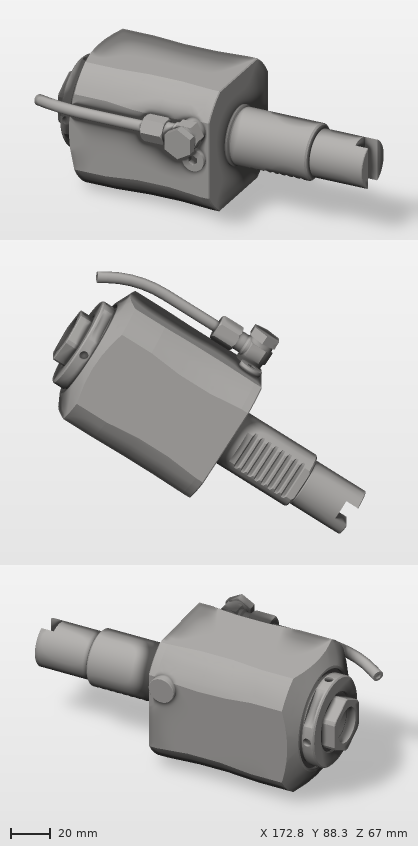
import cadquery as cq
import math

EMBED = 3.5

BLOCK_SIDE = 67.0
BLOCK_FRONT_X = -81.4
CONE_END_X = -75.4
WAIST_START_X = -57.7
WAIST_END_X = -4.5
CORNER_RADIUS = 39.5
WAIST_RADIUS = 38.5
FRONT_FACE_RADIUS = 27.5
REAR_CHAMFER = 0.5
RECESS_RADIUS = 26.1
RECESS_DEPTH = 1.7
HALF_SIDE = BLOCK_SIDE / 2

RING_FRONT_X = -88.3
RING_RADIUS = 24.0
RING_CHAMFER = 0.7
RING_REAR_X = -81.7
RING_NECK_RADIUS = 23.2
RING_BORE_CHAMFER = 0.5
PIN_HOLE_X = -84.5
PIN_HOLE_DIAMETER = 4.5
PIN_HOLE_DEPTH = 4.3
PIN_HOLE_POINT_ANGLE = 118
PIN_HOLE_COUNT = 4
FLAT_START_X = -86.8
FLAT_END_X = -82.0
FLAT_DISTANCE = 21.8
FLAT_ANGLES = (45, 225)

FLANGE_RADIUS = 15.9
FLANGE_LENGTH = 1.0
FLANGE_TAPER = 0.7
SHANK_RADIUS = 15.0
SHANK_END_X = 45.0
SHANK_CHAMFER = 0.9
SEAL_GROOVE_WIDTH = 0.9
SEAL_GROOVE_DEPTH = 0.3
RACK_START_X = 7.3
RACK_FLAT_Z = -12.3
TOOTH_PITCH = 4.0
FIRST_GAP_X = 12.0
GAP_COUNT = 8
GAP_MOUTH = 3.0
GAP_FLOOR = 1.4
GAP_DEPTH = 1.4

PORT_X = -8.6
PORT_Z = 15.5
FRONT_PLUG_X = -7.8
REAR_PLUG_RADIUS = 7.0
REAR_PLUG_HEIGHT = 3.0
REAR_PLUG_CHAMFER = 0.3
FRONT_PLUG_RADIUS = 6.0
FRONT_PLUG_HEIGHT = 2.6
SOCKET_ACROSS_FLATS = 4.8
SOCKET_DEPTH = 3.5

FITTING_RADIUS = 6.7
FITTING_ACROSS_FLATS = 13.7
FITTING_HEX_START_Y = -37.3
FITTING_HEX_END_Y = -44.6
BOLT_HEAD_START_Y = -47.2
BOLT_HEAD_END_Y = -51.8
BOLT_HEAD_ACROSS_FLATS = 14.2
NECK_RADIUS = 5.0
NECK_FLARE_X = -15.7
NECK_FLARE_RADIUS = 6.0
NUT_ACROSS_FLATS = 12.1
NUT_FRONT_X = -31.8
NUT_REAR_X = -19.7
NUT_TURNED_RADIUS = 6.2
NUT_BEVEL_LENGTH = 0.9
PIPE_Y = (FITTING_HEX_START_Y + FITTING_HEX_END_Y) / 2

PIPE_RADIUS = 3.0
PIPE_BORE_RADIUS = 1.5
PIPE_BORE_DEPTH = 3.5
PIPE_BEND_X = -62.4
PIPE_BEND_RADIUS = 58.0
PIPE_BEND_ANGLE = 31.0
PIPE_TIP_LENGTH = 4.7
PIPE_TILT = 18.7

COLLAR_RADIUS = 15.5
COLLAR_FRONT_X = -87.5
COLLAR_REAR_X = -69.1
COLLAR_CHAMFER = 0.3
SHAFT_RADIUS = 9.0
HEX_FRONT_X = -94.7
HEX_ACROSS_FLATS = 26.5
HEX_TURNED_RADIUS = 14.7
HEX_CHAMFER = 0.3
BORE_MOUTH_RADIUS = 9.5
BORE_MOUTH_DEPTH = 5.2
BORE_RADIUS = 9.2
BORE_DEPTH = 10.4
TAIL_START_X = 45.6
TAIL_END_X = 75.0
TAIL_RADIUS = 12.6
TAIL_CHAMFER = 0.3
SLOT_WIDTH = 10.9
SLOT_DEPTH = 7.0


def cylinder_x(x_start, x_end, radius):
    """Cylinder about the X axis between two X positions."""
    return cq.Workplane("YZ", origin=(x_start, 0, 0)).circle(radius).extrude(x_end - x_start)


def cylinder_y(y_start, y_end, radius, x, z):
    """Cylinder along Y between two Y positions."""
    return cq.Workplane("XZ", origin=(x, y_start, z)).circle(radius).extrude(y_start - y_end)


def hexagon(across_flats):
    """Corner points of a hexagon with one corner on the first sketch axis."""
    radius = across_flats / math.sqrt(3)
    angles = [math.radians(60 * corner) for corner in range(6)]
    return [(radius * math.cos(angle), radius * math.sin(angle)) for angle in angles]


def hexagon_pointing_up(across_flats):
    """Corner points of a hexagon with one corner on the second sketch axis."""
    return [(-v, u) for u, v in hexagon(across_flats)]


def prism_y(points, y_start, y_end, x, z):
    """Prism along Y with its outline given in X and Z."""
    sketch = cq.Workplane("XZ", origin=(x, y_start, z)).polyline(points).close()
    return sketch.extrude(y_start - y_end)


def revolve_about_axis(sketch):
    """Closed sketch of X and radius, turned about the X axis."""
    return sketch.close().revolve(360, (0, 0, 0), (1, 0, 0))


def make_block():
    """Square block with turned, waisted corners, a conical front and a ring recess."""
    turned = revolve_about_axis(
        cq.Workplane("XY")
        .moveTo(BLOCK_FRONT_X, 0)
        .lineTo(BLOCK_FRONT_X, FRONT_FACE_RADIUS)
        .lineTo(CONE_END_X, CORNER_RADIUS)
        .lineTo(WAIST_START_X, CORNER_RADIUS)
        .threePointArc(((WAIST_START_X + WAIST_END_X) / 2, WAIST_RADIUS), (WAIST_END_X, CORNER_RADIUS))
        .lineTo(0, CORNER_RADIUS)
        .lineTo(0, 0)
    )
    square = cq.Workplane("YZ").rect(BLOCK_SIDE, BLOCK_SIDE).extrude(BLOCK_FRONT_X)
    block = turned.intersect(square).faces(">X").chamfer(REAR_CHAMFER)
    return block.cut(cylinder_x(BLOCK_FRONT_X, BLOCK_FRONT_X + RECESS_DEPTH, RECESS_RADIUS))


def make_pin_hole():
    """Drilled hole with a conical bottom, entering the ring from -Y."""
    radius = PIN_HOLE_DIAMETER / 2
    point_length = radius / math.tan(math.radians(PIN_HOLE_POINT_ANGLE / 2))
    bottom_y = -RING_RADIUS + PIN_HOLE_DEPTH
    hole = cylinder_y(bottom_y, -RING_RADIUS - EMBED, radius, PIN_HOLE_X, 0)
    point = cq.Solid.makeCone(
        radius, 0, point_length, cq.Vector(PIN_HOLE_X, bottom_y, 0), cq.Vector(0, 1, 0)
    )
    return hole.union(cq.Workplane(point))


def make_front_ring():
    """Ring with radial pin holes and two opposite flats."""
    ring = cylinder_x(RING_FRONT_X, RING_REAR_X, RING_RADIUS).faces("<X").chamfer(RING_CHAMFER)
    ring = ring.union(cylinder_x(RING_REAR_X, BLOCK_FRONT_X + EMBED, RING_NECK_RADIUS))
    hole = make_pin_hole()
    for index in range(PIN_HOLE_COUNT):
        ring = ring.cut(hole.rotate((0, 0, 0), (1, 0, 0), index * 360 / PIN_HOLE_COUNT))
    flat = cq.Workplane("XY").box(
        FLAT_END_X - FLAT_START_X, RING_RADIUS, 2 * RING_RADIUS, centered=(False, False, True)
    ).translate((FLAT_START_X, FLAT_DISTANCE, 0))
    for angle in FLAT_ANGLES:
        ring = ring.cut(flat.rotate((0, 0, 0), (1, 0, 0), angle))
    return ring


def make_shank():
    """Clamping shank with a rear flange, a seal groove and rack teeth underneath."""
    groove_start = FLANGE_LENGTH + FLANGE_TAPER
    groove_end = groove_start + SEAL_GROOVE_WIDTH
    groove_radius = SHANK_RADIUS - SEAL_GROOVE_DEPTH
    shank = revolve_about_axis(
        cq.Workplane("XY").polyline([
            (-EMBED, 0),
            (-EMBED, FLANGE_RADIUS),
            (FLANGE_LENGTH, FLANGE_RADIUS),
            (groove_start, groove_radius),
            (groove_end, groove_radius),
            (groove_end, SHANK_RADIUS),
            (SHANK_END_X - SHANK_CHAMFER, SHANK_RADIUS),
            (SHANK_END_X, SHANK_RADIUS - SHANK_CHAMFER),
            (SHANK_END_X, 0),
        ])
    )
    relief = cq.Workplane("XY").box(
        SHANK_END_X - RACK_START_X, 2 * SHANK_RADIUS, SHANK_RADIUS, centered=(False, True, False)
    ).translate((RACK_START_X, 0, RACK_FLAT_Z - SHANK_RADIUS))
    shank = shank.cut(relief)
    gap = (
        cq.Workplane("XZ", origin=(0, 0, RACK_FLAT_Z))
        .polyline([
            (-GAP_MOUTH / 2, 0),
            (GAP_MOUTH / 2, 0),
            (GAP_FLOOR / 2, GAP_DEPTH),
            (-GAP_FLOOR / 2, GAP_DEPTH),
        ])
        .close()
        .extrude(SHANK_RADIUS, both=True)
    )
    for index in range(GAP_COUNT):
        shank = shank.cut(gap.translate((FIRST_GAP_X + index * TOOTH_PITCH, 0, 0)))
    return shank


def add_side_plugs(body):
    """Round plug on the +Y side and socket-headed plug on the -Y side."""
    rear_plug = cylinder_y(HALF_SIDE - EMBED, HALF_SIDE + REAR_PLUG_HEIGHT, REAR_PLUG_RADIUS, PORT_X, PORT_Z)
    rear_plug = rear_plug.faces(">Y").chamfer(REAR_PLUG_CHAMFER)
    plug_face_y = -HALF_SIDE - FRONT_PLUG_HEIGHT
    front_plug = cylinder_y(-HALF_SIDE + EMBED, plug_face_y, FRONT_PLUG_RADIUS, FRONT_PLUG_X, 0)
    socket = prism_y(
        hexagon_pointing_up(SOCKET_ACROSS_FLATS), plug_face_y + SOCKET_DEPTH, plug_face_y, FRONT_PLUG_X, 0
    )
    return body.union(rear_plug).union(front_plug).cut(socket)


def make_fitting():
    """Banjo fitting along Y, with its bolt head, flared neck and pipe nut."""
    stem = cylinder_y(-HALF_SIDE + EMBED, BOLT_HEAD_START_Y, FITTING_RADIUS, PORT_X, PORT_Z)
    hex_block = prism_y(
        hexagon(FITTING_ACROSS_FLATS), FITTING_HEX_START_Y, FITTING_HEX_END_Y, PORT_X, PORT_Z
    )
    head = prism_y(
        hexagon_pointing_up(BOLT_HEAD_ACROSS_FLATS), BOLT_HEAD_START_Y, BOLT_HEAD_END_Y, PORT_X, PORT_Z
    )
    flare_end_x = NECK_FLARE_X + NECK_FLARE_RADIUS - NECK_RADIUS
    neck = revolve_about_axis(
        cq.Workplane("XY").polyline([
            (NUT_REAR_X, 0),
            (NUT_REAR_X, NECK_RADIUS),
            (NECK_FLARE_X, NECK_RADIUS),
            (flare_end_x, NECK_FLARE_RADIUS),
            (PORT_X, NECK_FLARE_RADIUS),
            (PORT_X, 0),
        ])
    ).translate((0, PIPE_Y, PORT_Z))
    return stem.union(hex_block).union(head).union(neck).union(make_nut())


def make_nut():
    """Hexagonal pipe nut along X, bevelled at both ends."""
    length = NUT_REAR_X - NUT_FRONT_X
    corner_radius = NUT_ACROSS_FLATS / math.sqrt(3)
    bevelled = revolve_about_axis(
        cq.Workplane("XY").polyline([
            (0, 0),
            (0, NUT_TURNED_RADIUS),
            (NUT_BEVEL_LENGTH, corner_radius),
            (length - NUT_BEVEL_LENGTH, corner_radius),
            (length, NUT_TURNED_RADIUS),
            (length, 0),
        ])
    )
    prism = cq.Workplane("YZ").polyline(hexagon(NUT_ACROSS_FLATS)).close().extrude(length)
    return prism.intersect(bevelled).translate((NUT_FRONT_X, PIPE_Y, PORT_Z))


def make_pipe():
    """Bent coolant pipe, open at its tip."""
    bend = math.radians(PIPE_BEND_ANGLE)
    half_bend = bend / 2

    def on_bend(angle):
        return (
            PIPE_BEND_X - PIPE_BEND_RADIUS * math.sin(angle),
            PIPE_BEND_RADIUS * (1 - math.cos(angle)),
        )

    bend_end = on_bend(bend)
    direction = (-math.cos(bend), math.sin(bend))
    tip = (bend_end[0] + PIPE_TIP_LENGTH * direction[0], bend_end[1] + PIPE_TIP_LENGTH * direction[1])
    path = (
        cq.Workplane("XY")
        .moveTo(NUT_FRONT_X + EMBED, 0)
        .lineTo(PIPE_BEND_X, 0)
        .threePointArc(on_bend(half_bend), bend_end)
        .lineTo(*tip)
    )
    pipe = cq.Workplane("YZ", origin=(NUT_FRONT_X + EMBED, 0, 0)).circle(PIPE_RADIUS).sweep(path)
    bore = cq.Workplane(
        cq.Solid.makeCylinder(
            PIPE_BORE_RADIUS,
            PIPE_BORE_DEPTH,
            cq.Vector(tip[0], tip[1], 0),
            cq.Vector(-direction[0], -direction[1], 0),
        )
    )
    pipe = pipe.cut(bore)
    return pipe.rotate((0, 0, 0), (1, 0, 0), -PIPE_TILT).translate((0, PIPE_Y, PORT_Z))


def cut_spindle_passage(body):
    """Stepped bore that fits the spindle, bevelled at the ring face."""
    body = body.cut(cylinder_x(RING_FRONT_X, COLLAR_REAR_X, COLLAR_RADIUS))
    body = body.cut(cylinder_x(COLLAR_REAR_X, SHANK_END_X, SHAFT_RADIUS))
    mouth = cq.Solid.makeCone(
        COLLAR_RADIUS + RING_BORE_CHAMFER,
        COLLAR_RADIUS,
        RING_BORE_CHAMFER,
        cq.Vector(RING_FRONT_X, 0, 0),
        cq.Vector(1, 0, 0),
    )
    return body.cut(cq.Workplane(mouth))


def make_housing():
    """Housing with ring, shank, plugs, fitting and pipe."""
    body = make_block().union(make_front_ring()).union(make_shank())
    body = cut_spindle_passage(body)
    body = add_side_plugs(body)
    return body.union(make_fitting()).union(make_pipe())


def make_spindle():
    """Spindle with a front hexagon and bore, and a slotted driving tail."""
    collar = cylinder_x(COLLAR_FRONT_X, COLLAR_REAR_X, COLLAR_RADIUS).faces("<X").chamfer(COLLAR_CHAMFER)
    shaft = cylinder_x(COLLAR_REAR_X, TAIL_START_X, SHAFT_RADIUS)
    tail = cylinder_x(TAIL_START_X, TAIL_END_X, TAIL_RADIUS).faces("<X or >X").chamfer(TAIL_CHAMFER)
    nose = (
        cq.Workplane("YZ", origin=(HEX_FRONT_X, 0, 0))
        .polyline(hexagon_pointing_up(HEX_ACROSS_FLATS))
        .close()
        .extrude(COLLAR_FRONT_X - HEX_FRONT_X)
        .intersect(cylinder_x(HEX_FRONT_X, COLLAR_FRONT_X, HEX_TURNED_RADIUS))
        .faces("<X")
        .chamfer(HEX_CHAMFER)
    )
    slot = cq.Workplane("XY").box(SLOT_DEPTH, SLOT_WIDTH, 2 * TAIL_RADIUS)
    slot = slot.translate((TAIL_END_X - SLOT_DEPTH / 2, 0, 0))
    spindle = collar.union(shaft).union(tail).union(nose).cut(slot)
    spindle = spindle.cut(cylinder_x(HEX_FRONT_X, HEX_FRONT_X + BORE_MOUTH_DEPTH, BORE_MOUTH_RADIUS))
    return spindle.cut(cylinder_x(HEX_FRONT_X, HEX_FRONT_X + BORE_DEPTH, BORE_RADIUS))


housing = make_housing()
spindle = make_spindle()
result = cq.Compound.makeCompound([housing.solids().val(), spindle.solids().val()])